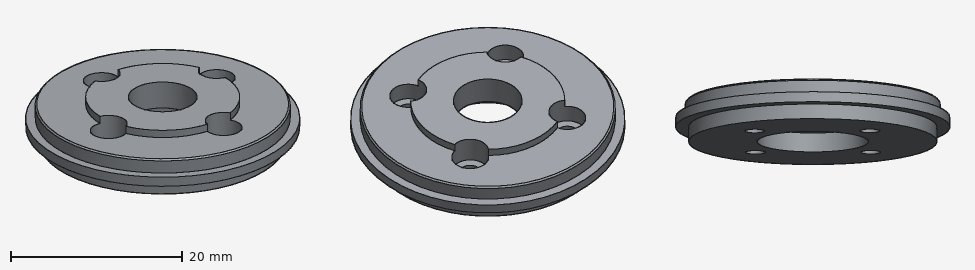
import cadquery as cq

spigot_diameter = 29.0
spigot_height = 1.73
flange_diameter = 32.0
flange_height = 1.2
body_diameter = 29.8
body_height = 1.75
body_chamfer = 0.2
boss_diameter = 18.0
total_height = 5.6

bore_diameter = 8.0
recess_diameter = 13.0
recess_depth = 2.25
screw_count = 4
screw_circle_diameter = 19.0
screw_hole_diameter = 2.3
counterbore_diameter = 4.3
counterbore_floor = 2.5

flange_bottom = spigot_height
body_bottom = flange_bottom + flange_height
body_top = body_bottom + body_height
boss_height = total_height - body_top


def disc(diameter, bottom, height):
    """Vertical cylinder centred on the part axis."""
    return cq.Workplane("XY").workplane(offset=bottom).circle(diameter / 2).extrude(height)


def screw_cylinders(diameter, bottom):
    """Cylinders on the screw circle, reaching up to the top face."""
    return (
        cq.Workplane("XY")
        .workplane(offset=bottom)
        .polarArray(screw_circle_diameter / 2, 0, 360, screw_count)
        .circle(diameter / 2)
        .extrude(total_height - bottom)
    )


spigot = disc(spigot_diameter, 0, spigot_height)
flange = disc(flange_diameter, flange_bottom, flange_height)
body = disc(body_diameter, body_bottom, body_height).faces(">Z").edges().chamfer(body_chamfer)
boss = disc(boss_diameter, body_top, boss_height)
stack = spigot.union(flange).union(body).union(boss)

result = (
    stack.cut(disc(bore_diameter, 0, total_height))
    .cut(disc(recess_diameter, 0, recess_depth))
    .cut(screw_cylinders(screw_hole_diameter, 0))
    .cut(screw_cylinders(counterbore_diameter, counterbore_floor))
)